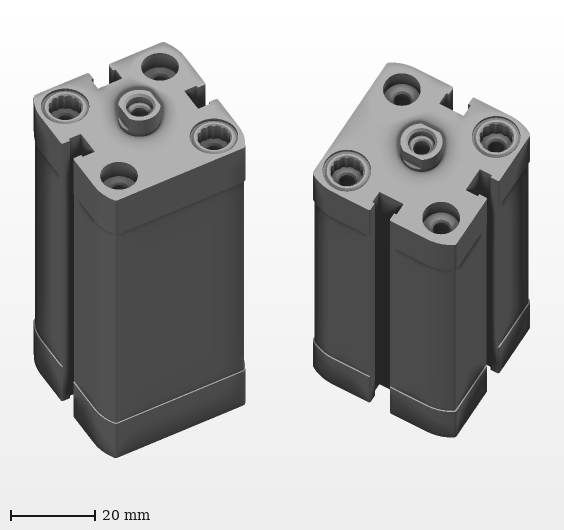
import cadquery as cq
import math

total_height = 95.3
rod_projection = 5.6
housing_height = total_height - rod_projection
half_width = 19.7

cap_height = 11.9
barrel_inset = 0.33
corner_arc_radius = 12.0
corner_edge_radius = 1.0

slot_depth = 5.6
slot_lip_depth = 2.3
slot_cavity_width = 6.7
slot_opening = 5.3
slot_mouth_chamfer = 0.3
slot_angles = [0, 90, 180]

hole_offset = 13.0
through_diameter = 4.0
countersink_diameter = 5.0
counterbore_diameter = 9.0
counterbore_depth = 5.0

recess_diameter = 11.5
recess_depth = 0.8
head_diameter = 10.5
head_chamfer = 0.5
head_top_depth = 0.2
socket_depth = counterbore_depth
socket_mouth_diameter = 8.6
socket_points = 12
socket_groove_diameter = 8.0
socket_ridge_diameter = 7.5
groove_half_angle = 6.0

rod_diameter = 10.0
rod_seat_depth = cap_height
rod_flat_width = 8.7
rod_flat_length = 4.1
rod_flat_runout = 0.4
rod_mouth_diameter = 7.5
rod_counterbore_diameter = 6.4
rod_counterbore_depth = 2.6
rod_bore_mouth_diameter = 5.0
rod_bore_diameter = 4.0
rod_bore_depth = 10.5
rod_bore_tip_depth = 1.1


def polar_point(radius, angle):
    """Point at a radius and an angle in degrees about the origin."""
    return radius * math.cos(math.radians(angle)), radius * math.sin(math.radians(angle))


def profile_block(inset, bottom, top):
    """Prism of the housing outline, set back from the full outline by the inset."""
    half = half_width - inset
    radius = corner_arc_radius - inset
    arc_center = half_width - corner_arc_radius
    end_angle = math.acos((half - hole_offset) / radius)
    middle_angle = (end_angle + math.pi / 2) / 2
    middle_x = hole_offset + radius * math.cos(middle_angle)
    middle_y = arc_center + radius * math.sin(middle_angle)
    corner_y = arc_center + radius * math.sin(end_angle)
    block = (
        cq.Workplane("XY", origin=(0, 0, bottom))
        .moveTo(-hole_offset, half)
        .lineTo(hole_offset, half)
        .threePointArc((middle_x, middle_y), (half, corner_y))
        .lineTo(half, -corner_y)
        .threePointArc((middle_x, -middle_y), (hole_offset, -half))
        .lineTo(-hole_offset, -half)
        .threePointArc((-middle_x, -middle_y), (-half, -corner_y))
        .lineTo(-half, corner_y)
        .threePointArc((-middle_x, middle_y), (-hole_offset, half))
        .close()
        .extrude(top - bottom)
    )
    edge_radius = corner_edge_radius - inset
    return block.faces("<X or >X").edges("|Z").fillet(edge_radius)


def t_slot():
    """T-slot in the -Y side along the whole housing, with a chamfered mouth in the caps."""
    half_opening = slot_opening / 2
    half_mouth = half_opening + slot_mouth_chamfer
    half_cavity = slot_cavity_width / 2
    face = -half_width
    chamfer_end = face + slot_mouth_chamfer
    lip_end = face + slot_lip_depth
    floor = face + slot_depth
    return (
        cq.Workplane("XY")
        .polyline([
            (0, face),
            (half_mouth, face),
            (half_opening, chamfer_end),
            (half_opening, lip_end),
            (half_cavity, lip_end),
            (half_cavity, floor),
            (0, floor),
        ])
        .mirrorY()
        .extrude(housing_height)
    )


def revolve_profile(points):
    """Solid turned about Z from (radius, height) points."""
    return cq.Workplane("XZ").polyline(points).close().revolve(360, (0, 0), (0, 1))


def countersunk_hole(floor_depth):
    """Through hole with a 45-degree countersink at a floor below the top face."""
    floor = housing_height - floor_depth
    through_radius = through_diameter / 2
    sink_radius = countersink_diameter / 2
    return revolve_profile([
        (0, 0),
        (through_radius, 0),
        (through_radius, floor - (sink_radius - through_radius)),
        (sink_radius, floor),
        (0, floor),
    ])


def counterbored_hole():
    counterbore = (
        cq.Workplane("XY", origin=(0, 0, housing_height - counterbore_depth))
        .circle(counterbore_diameter / 2)
        .extrude(counterbore_depth)
    )
    return counterbore.union(countersunk_hole(counterbore_depth))


def twelve_point_socket():
    """Socket with flat-bottomed grooves between sharp ridges."""
    pitch = 360 / socket_points
    groove_radius = socket_groove_diameter / 2
    ridge_radius = socket_ridge_diameter / 2
    outline = cq.Workplane("XY", origin=(0, 0, housing_height - socket_depth)).moveTo(ridge_radius, 0)
    for index in range(socket_points):
        groove_angle = (index + 0.5) * pitch
        outline = (
            outline
            .lineTo(*polar_point(groove_radius, groove_angle - groove_half_angle))
            .threePointArc(
                polar_point(groove_radius, groove_angle),
                polar_point(groove_radius, groove_angle + groove_half_angle),
            )
        )
        if index < socket_points - 1:
            outline = outline.lineTo(*polar_point(ridge_radius, (index + 1) * pitch))
    return outline.close().extrude(socket_depth)


def screw_recess():
    """Space around a sunk screw head: annular groove, chamfered rim, socket and through hole."""
    head_radius = head_diameter / 2
    mouth_radius = socket_mouth_diameter / 2
    ridge_radius = socket_ridge_diameter / 2
    head_top = housing_height - head_top_depth
    mouth_end = head_top - (mouth_radius - ridge_radius)
    groove_floor = housing_height - recess_depth
    surround = revolve_profile([
        (0, housing_height),
        (0, mouth_end),
        (ridge_radius, mouth_end),
        (mouth_radius, head_top),
        (head_radius - head_chamfer, head_top),
        (head_radius, head_top - head_chamfer),
        (head_radius, groove_floor),
        (recess_diameter / 2, groove_floor),
        (recess_diameter / 2, housing_height),
    ])
    return surround.union(twelve_point_socket()).union(countersunk_hole(socket_depth))


def make_housing():
    """Barrel with two end caps, T-slots, corner holes and a seat for the rod."""
    housing = profile_block(barrel_inset, 0, housing_height)
    for bottom in (0, housing_height - cap_height):
        housing = housing.union(profile_block(0, bottom, bottom + cap_height))

    slot = t_slot()
    for angle in slot_angles:
        housing = housing.cut(slot.rotate((0, 0, 0), (0, 0, 1), -angle))

    for side in (-1, 1):
        offset = side * hole_offset
        housing = housing.cut(counterbored_hole().translate((offset, -offset, 0)))
        housing = housing.cut(screw_recess().translate((offset, offset, 0)))

    rod_seat = (
        cq.Workplane("XY", origin=(0, 0, housing_height - rod_seat_depth))
        .circle(rod_diameter / 2)
        .extrude(rod_seat_depth)
    )
    return housing.cut(rod_seat)


def rod_bore():
    """Stepped, chamfered blind bore with a conical tip, opening at the rod end."""
    mouth_radius = rod_mouth_diameter / 2
    counterbore_radius = rod_counterbore_diameter / 2
    bore_mouth_radius = rod_bore_mouth_diameter / 2
    bore_radius = rod_bore_diameter / 2
    counterbore_floor = total_height - rod_counterbore_depth
    bore_end = total_height - rod_bore_depth
    return revolve_profile([
        (0, total_height),
        (mouth_radius, total_height),
        (counterbore_radius, total_height - (mouth_radius - counterbore_radius)),
        (counterbore_radius, counterbore_floor),
        (bore_mouth_radius, counterbore_floor),
        (bore_radius, counterbore_floor - (bore_mouth_radius - bore_radius)),
        (bore_radius, bore_end),
        (0, bore_end - rod_bore_tip_depth),
    ])


def make_rod():
    """Round rod with two wrench flats facing -Y and +Y and a bore in its end."""
    rod_length = rod_projection + rod_seat_depth
    rod = (
        cq.Workplane("XY", origin=(0, 0, total_height - rod_length))
        .circle(rod_diameter / 2)
        .extrude(rod_length)
    )
    rod_radius = rod_diameter / 2
    half_flat = rod_flat_width / 2
    flat_end = total_height - rod_flat_length
    flat_cut = (
        cq.Workplane("YZ")
        .polyline([
            (half_flat, total_height),
            (half_flat, flat_end),
            (rod_radius, flat_end - rod_flat_runout),
            (rod_radius, total_height),
        ])
        .close()
        .extrude(rod_radius, both=True)
    )
    rod = rod.cut(flat_cut).cut(flat_cut.mirror("XZ"))
    return rod.cut(rod_bore())


housing = make_housing()
rod = make_rod()

result = cq.Compound.makeCompound([housing.val(), rod.val()])